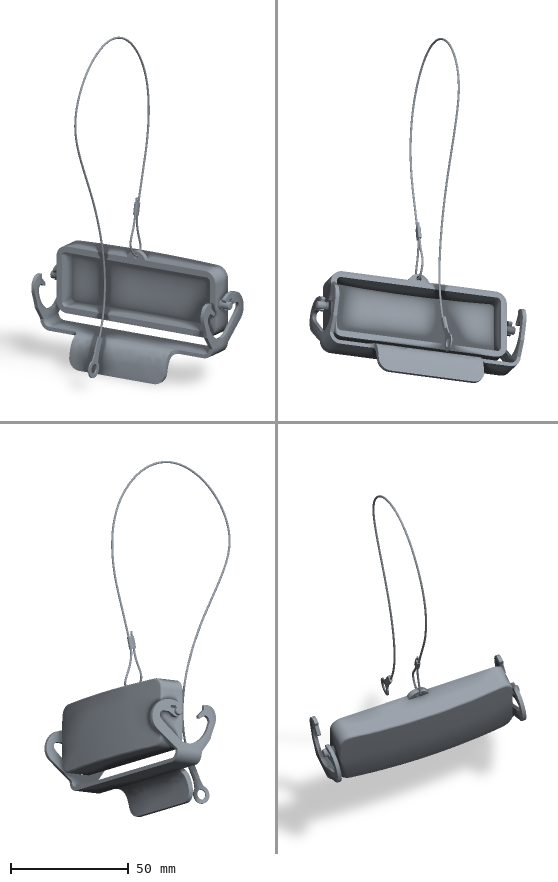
import cadquery as cq
import math


COVER_LENGTH = 79.8
COVER_HEIGHT = 29.7
COVER_CORNER = 5.1
COVER_WALL = 2.7
COVER_DEPTH = 13.8
CROWN_RADIUS = 272.5
CAVITY_CORNER = 1.8
BACK_EDGE_FILLET = 0.9

LUG_CENTER_Z = 13.3
LUG_RADIUS = 4.8
LUG_THICKNESS = 2.3
LUG_HOLE_Z = 16.0
LUG_HOLE_RADIUS = 1.14

PIVOT_Y = 4.47
PIVOT_Z = -0.2
PIN_RADIUS = 1.74
PIN_CHAMFER = 0.3
PIN_END_X = 89.8 / 2
BOSS_RADIUS = 2.05
BOSS_LENGTH = 0.9

LEVER_HALF_WIDTH = 43.3
LEVER_THICKNESS = 1.7
LEVER_BEND_RADIUS = 4.7
LEVER_TOP = 4.7
LEVER_BOTTOM = -21.3
LEVER_FRONT_Y = -7.5
LEVER_BACK_Y = 4.5
EAR_BASE_Z = LEVER_BOTTOM + LEVER_BEND_RADIUS
SEAT_RADIUS = 1.8
RELIEF_Y = 7.5
RELIEF_Z = 1.5
RELIEF_RADIUS = 0.6
RELIEF_LENGTH = 2.1

TAB_HALF_WIDTH = 23.9
TAB_BOTTOM = -33.9
TAB_OUTER_CURVE = [(-12.5, -21.8), (-15.0, -27.2), (-15.7, TAB_BOTTOM)]
TAB_INNER_CURVE = [(-14.0, TAB_BOTTOM), (-12.7, -27.2), (-11.0, -23.6)]
TAB_CORNER = 5.1
TAB_FLARE = 3.0

CABLE_RADIUS = 0.5
CABLE_POINTS = [
    (0.8, 41.8), (0.5, 39.8), (-0.6, 34.0), (-2.0, 29.0), (-4.2, 22.1),
    (-1.8, 17.4), (1.14, LUG_HOLE_Z), (3.5, 17.5), (3.2, 21.8), (1.4, 27.5),
    (0.83, 33.8), (2.1, 39.5), (5.0, 50.0), (8.6, 63.5), (10.3, 77.2),
    (8.0, 93.7), (0.0, 107.6), (-9.8, 115.0), (-19.7, 117.0), (-29.5, 114.5),
    (-41.5, 104.6), (-48.6, 86.3), (-43.9, 69.0), (-34.8, 50.0), (-27.4, 28.5),
    (-25.0, 7.5), (-26.3, -3.5), (-29.5, -13.6), (-31.3, -17.5),
]

FERRULE_Y = 0.6
FERRULE_Z = 36.86
FERRULE_WIDTH = 3.0
FERRULE_LENGTH = 5.5
FERRULE_THICKNESS = 1.5
FERRULE_EDGE = 0.5
FERRULE_TILT = 12.7

RING_Y = -34.7
RING_Z = -25.3
RING_RADIUS = 4.0
RING_HOLE_RADIUS = 2.1
RING_THICKNESS = 0.6
NECK_HALF_WIDTH = 2.9
SLEEVE_Y = -30.7
SLEEVE_Z = -15.7
SLEEVE_WIDTH = 3.0
SLEEVE_LENGTH = 6.8
SLEEVE_CHAMFER = 0.53
SLEEVE_TILT = 25.0
SLEEVE_MIN_X = -0.6
SLEEVE_MAX_X = 0.8


def slab_x(outline_wire, x_start, x_end):
    """Extrude a closed outline drawn on a YZ workplane between two X positions."""
    return outline_wire.extrude(x_end - x_start).translate((x_start, 0, 0))


def bar_y(length, height, corner, depth):
    """Rounded bar with its front face on Y = 0, running towards +Y."""
    return (
        cq.Workplane("XZ").rect(length, height).extrude(-depth)
        .edges("|Y").fillet(corner)
    )


def make_cover():
    crown_center = (0, COVER_DEPTH - CROWN_RADIUS, 0)
    crown = cq.Workplane("XY").sphere(CROWN_RADIUS).translate(crown_center)
    cover = bar_y(COVER_LENGTH, COVER_HEIGHT, COVER_CORNER, COVER_DEPTH).intersect(crown)
    cover = cover.faces(">Y").edges().fillet(BACK_EDGE_FILLET)

    lug = (
        cq.Workplane("XZ").center(0, LUG_CENTER_Z).circle(LUG_RADIUS).extrude(-LUG_THICKNESS)
    )
    cover = cover.union(lug)

    inner_crown = cq.Workplane("XY").sphere(CROWN_RADIUS - COVER_WALL).translate(crown_center)
    cavity = bar_y(
        COVER_LENGTH - 2 * COVER_WALL,
        COVER_HEIGHT - 2 * COVER_WALL,
        CAVITY_CORNER,
        COVER_DEPTH,
    ).intersect(inner_crown)
    lug_hole = (
        cq.Workplane("XZ").center(0, LUG_HOLE_Z).circle(LUG_HOLE_RADIUS).extrude(-LUG_THICKNESS)
    )
    cover = cover.cut(cavity).cut(lug_hole)

    end_x = COVER_LENGTH / 2
    pin = (
        cq.Workplane("YZ", origin=(end_x, PIVOT_Y, PIVOT_Z))
        .circle(PIN_RADIUS).extrude(PIN_END_X - end_x)
        .faces(">X").chamfer(PIN_CHAMFER)
    )
    boss = (
        cq.Workplane("YZ", origin=(end_x, PIVOT_Y, PIVOT_Z))
        .circle(BOSS_RADIUS).extrude(BOSS_LENGTH)
    )
    pivot = pin.union(boss)
    return cover.union(pivot).union(pivot.mirror("YZ"))


def make_lever_strap():
    """U-shaped strap of constant thickness, deeper in Y than the finished lever."""
    strap_depth = 60.5

    def bar(offset):
        half_width = LEVER_HALF_WIDTH - offset
        bottom = LEVER_BOTTOM + offset
        height = LEVER_TOP + LEVER_THICKNESS - LEVER_BOTTOM
        return (
            cq.Workplane("XY")
            .box(2 * half_width, strap_depth, height, centered=(True, True, False))
            .translate((0, 0, bottom))
            .edges("|Y and <Z").fillet(LEVER_BEND_RADIUS - offset)
        )

    return bar(0).cut(bar(LEVER_THICKNESS))


def make_lever_silhouette():
    """Side outline of the lever: base, pin hook at the back and latch hook in front."""
    outline = (
        cq.Workplane("YZ")
        .moveTo(LEVER_FRONT_Y, LEVER_BOTTOM)
        .lineTo(LEVER_BACK_Y, LEVER_BOTTOM)
        .lineTo(LEVER_BACK_Y, EAR_BASE_Z)
        .lineTo(14.1, -9.2)
        .spline([(17.18, -2.5), (13.6, 3.2), (7.9, LEVER_TOP), (3.5, 3.3)], includeCurrent=True)
        .threePointArc((2.5, 2.7), (2.9, PIVOT_Z + SEAT_RADIUS))
        .lineTo(4.2, PIVOT_Z)
        .lineTo(4.1, -2.4)
        .spline([(5.5, -2.5), (6.7, -2.0), (9.4, -0.6)], includeCurrent=True)
        .lineTo(11.8, -0.6)
        .threePointArc((13.5, -2.0), (12.9, -4.0))
        .lineTo(11.8, -5.1)
        .lineTo(4.5, -11.2)
        .spline([(-1.8, -13.5), (-8.3, -9.7), (-10.97, -4.5)], includeCurrent=True)
        .threePointArc((-10.9, -1.7), (-9.2, -0.6))
        .lineTo(-7.0, -2.0)
        .lineTo(-6.0, -2.0)
        .lineTo(-5.8, -1.0)
        .lineTo(-8.6, 1.8)
        .lineTo(-8.6, 3.8)
        .lineTo(-10.6, 4.0)
        .spline([(-13.3, 2.5), (-14.7, -0.9), (-14.0, -4.8), (-12.0, -10.6)], includeCurrent=True)
        .lineTo(LEVER_FRONT_Y, EAR_BASE_Z)
        .close()
    )
    silhouette = slab_x(outline, -LEVER_HALF_WIDTH, LEVER_HALF_WIDTH)

    seat = slab_x(
        cq.Workplane("YZ").center(PIVOT_Y, PIVOT_Z).circle(SEAT_RADIUS),
        -LEVER_HALF_WIDTH, LEVER_HALF_WIDTH,
    )
    relief_end = slab_x(
        cq.Workplane("YZ").center(RELIEF_Y, RELIEF_Z).circle(RELIEF_RADIUS),
        -LEVER_HALF_WIDTH, LEVER_HALF_WIDTH,
    )
    relief_slot = slab_x(
        cq.Workplane("YZ").center(RELIEF_Y - RELIEF_LENGTH / 2, RELIEF_Z)
        .rect(RELIEF_LENGTH, 2 * RELIEF_RADIUS),
        -LEVER_HALF_WIDTH, LEVER_HALF_WIDTH,
    )
    return silhouette.cut(seat).cut(relief_end).cut(relief_slot)


def make_tab():
    """Curved sheet below the lever base, flared at its root and rounded at its corners."""
    top = LEVER_BOTTOM + LEVER_THICKNESS
    root_half_width = TAB_HALF_WIDTH + TAB_FLARE
    profile = (
        cq.Workplane("YZ")
        .moveTo(LEVER_FRONT_Y, top)
        .spline(TAB_OUTER_CURVE, includeCurrent=True)
        .lineTo(*TAB_INNER_CURVE[0])
        .spline([*TAB_INNER_CURVE[1:], (LEVER_FRONT_Y, LEVER_BOTTOM)], includeCurrent=True)
        .close()
    )
    sheet = slab_x(profile, -root_half_width, root_half_width)

    tab_height = top - TAB_BOTTOM
    reach = LEVER_FRONT_Y - TAB_OUTER_CURVE[-1][0] + LEVER_THICKNESS
    limits = (
        cq.Workplane("XY")
        .box(2 * TAB_HALF_WIDTH, reach, tab_height, centered=(True, False, False))
        .translate((0, LEVER_FRONT_Y - reach, TAB_BOTTOM))
        .edges("|Y and <Z").fillet(TAB_CORNER)
    )
    flare_slab = (
        cq.Workplane("XY")
        .box(2 * root_half_width, reach, TAB_FLARE, centered=(True, False, False))
        .translate((0, LEVER_FRONT_Y - reach, top - TAB_FLARE))
    )
    for side in (-1, 1):
        flare = (
            cq.Workplane("XY", origin=(0, 0, TAB_BOTTOM))
            .moveTo(side * TAB_HALF_WIDTH, LEVER_FRONT_Y)
            .lineTo(side * root_half_width, LEVER_FRONT_Y)
            .radiusArc((side * TAB_HALF_WIDTH, LEVER_FRONT_Y - TAB_FLARE), -side * TAB_FLARE)
            .close()
            .extrude(tab_height)
            .intersect(flare_slab)
        )
        limits = limits.union(flare)
    return sheet.intersect(limits)


def make_lever():
    return make_lever_strap().intersect(make_lever_silhouette()).union(make_tab())


def make_cable():
    path = cq.Workplane("YZ").spline(CABLE_POINTS)
    start = path.val().startPoint()
    section = cq.Workplane(cq.Plane(origin=start, normal=path.val().tangentAt(0)))
    return section.circle(CABLE_RADIUS).sweep(path)


def make_ferrule(cable):
    """Clamp that holds the cable loop closed; both strands run through it."""
    ferrule = (
        cq.Workplane("XY")
        .box(FERRULE_THICKNESS, FERRULE_WIDTH, FERRULE_LENGTH)
        .edges("|Z").fillet(FERRULE_EDGE)
        .rotate((0, 0, 0), (1, 0, 0), -FERRULE_TILT)
        .translate((0, FERRULE_Y, FERRULE_Z))
    )
    return ferrule.cut(cable)


def make_terminal(cable):
    """Flat ring with a neck leading to the sleeve that grips the end of the cable."""
    plate_x = SLEEVE_MAX_X - RING_THICKNESS
    tilt = math.radians(SLEEVE_TILT)
    along = (-math.sin(tilt), -math.cos(tilt))
    across = (math.cos(tilt), -math.sin(tilt))

    sleeve = (
        cq.Workplane("XY")
        .box(SLEEVE_MAX_X - SLEEVE_MIN_X, SLEEVE_WIDTH, SLEEVE_LENGTH)
        .edges("|Z and <X").chamfer(SLEEVE_CHAMFER)
        .rotate((0, 0, 0), (1, 0, 0), -SLEEVE_TILT)
        .translate(((SLEEVE_MIN_X + SLEEVE_MAX_X) / 2, SLEEVE_Y, SLEEVE_Z))
    )
    half_length = SLEEVE_LENGTH / 2
    sleeve_end = (SLEEVE_Y + half_length * along[0], SLEEVE_Z + half_length * along[1])
    ring_center = (RING_Y, RING_Z)

    def beside(point, distance):
        """Point at a distance from another, measured across the terminal."""
        return (point[0] + distance * across[0], point[1] + distance * across[1])

    neck = slab_x(
        cq.Workplane("YZ").polyline([
            beside(sleeve_end, -SLEEVE_WIDTH / 2),
            beside(sleeve_end, SLEEVE_WIDTH / 2),
            beside(ring_center, NECK_HALF_WIDTH),
            beside(ring_center, -NECK_HALF_WIDTH),
        ]).close(),
        plate_x, SLEEVE_MAX_X,
    )
    ring = slab_x(
        cq.Workplane("YZ").center(*ring_center).circle(RING_RADIUS), plate_x, SLEEVE_MAX_X
    )
    ring_hole = slab_x(
        cq.Workplane("YZ").center(*ring_center).circle(RING_HOLE_RADIUS), plate_x, SLEEVE_MAX_X
    )
    return sleeve.union(neck).union(ring).cut(ring_hole).cut(cable)


cover = make_cover()
lever = make_lever()
cable = make_cable()
ferrule = make_ferrule(cable)
terminal = make_terminal(cable)

result = cq.Compound.makeCompound(
    [cover.val(), lever.val(), cable.val(), ferrule.val(), terminal.val()]
)